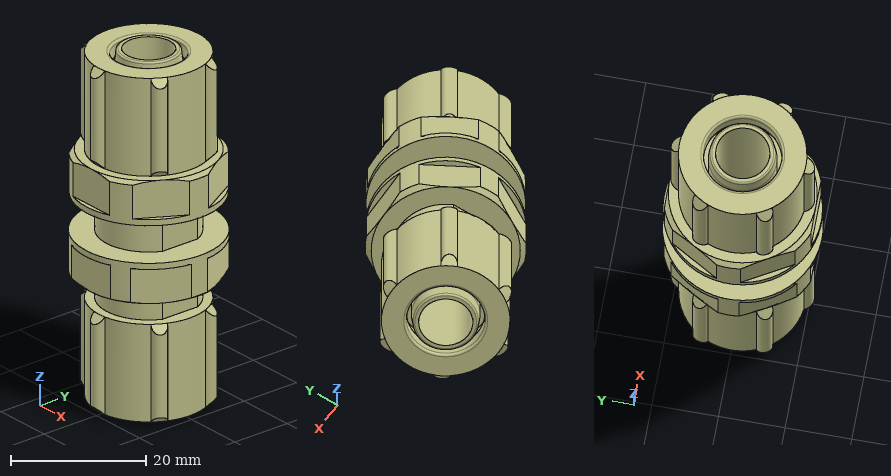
import cadquery as cq
import math

TOTAL_LENGTH = 57.0
NOZZLE_PROTRUSION = 0.4
CAP_HEIGHT = 16.0
NOZZLE_TIP_Z = TOTAL_LENGTH / 2
CAP_OUTER_Z = NOZZLE_TIP_Z - NOZZLE_PROTRUSION
CAP_INNER_Z = CAP_OUTER_Z - CAP_HEIGHT

STEM_DIAMETER = 16.0
STEM_ACROSS_FLATS = 14.5
BORE_DIAMETER = 8.0

HEX_ACROSS_FLATS = 22.0
HEX_HEIGHT = 7.0
FLANGE_THICKNESS = 1.0
HEX_CHAMFER_RADIUS = 11.0
HEX_CHAMFER_HEIGHT = 0.5
NUT_DIAMETER = 23.6
COLLAR_DIAMETER = 23.8
COLLAR_SEAT_Z = -1.0

NOZZLE_TIP_DIAMETER = 9.65
NOZZLE_TIP_FILLET = 0.3
NOZZLE_DIAMETER = 10.15
NOZZLE_TAPER_LENGTH = 2.2

CAP_DIAMETER = 19.0
CAP_MOUTH_DIAMETER = 11.6
CAP_MOUTH_FILLET = 0.4
CAP_LIP_THICKNESS = 2.4
SPIGOT_DIAMETER = 13.55
SPIGOT_HEIGHT = 10.0
RIB_COUNT = 6
RIB_RADIUS = 1.25
FIRST_RIB_ANGLE = 90.0


def cylinder(diameter, bottom_z, top_z):
    """Solid cylinder on the Z axis between two heights."""
    return cq.Workplane("XY").workplane(offset=bottom_z).circle(diameter / 2).extrude(top_z - bottom_z)


def turned(profile_points):
    """Solid of revolution about Z from (radius, z) points."""
    return cq.Workplane("XZ").polyline(profile_points).close().revolve(360, (0, 0), (0, 1))


def mirrored(shape):
    """The same shape at the opposite end of the fitting."""
    return shape.mirror("XY")


def flanged_hex(diameter):
    """Hexagon with rounded corners on a round flange; flange down on z = 0, chamfer at the top."""
    radius = diameter / 2
    envelope = turned([
        (0, 0),
        (radius, 0),
        (radius, HEX_HEIGHT - HEX_CHAMFER_HEIGHT),
        (HEX_CHAMFER_RADIUS, HEX_HEIGHT),
        (0, HEX_HEIGHT),
    ])
    corner_diameter = HEX_ACROSS_FLATS / math.cos(math.pi / 6)
    hexagon = cq.Workplane("XY").polygon(6, corner_diameter).extrude(HEX_HEIGHT)
    flange = cylinder(diameter, 0, FLANGE_THICKNESS)
    return envelope.intersect(hexagon.union(flange))


def nozzle():
    """Tapered hose nozzle at the upper end, rising from the stem to a rounded tip."""
    plain = turned([
        (0, CAP_INNER_Z),
        (NOZZLE_DIAMETER / 2, CAP_INNER_Z),
        (NOZZLE_DIAMETER / 2, NOZZLE_TIP_Z - NOZZLE_TAPER_LENGTH),
        (NOZZLE_TIP_DIAMETER / 2, NOZZLE_TIP_Z),
        (0, NOZZLE_TIP_Z),
    ])
    return plain.faces(">Z").edges().fillet(NOZZLE_TIP_FILLET)


def make_fitting_body():
    """Flatted stem with hex collar, and a spigot and nozzle at each end, bored through."""
    stem = cylinder(STEM_DIAMETER, -CAP_INNER_Z, CAP_INNER_Z)
    flats = cq.Workplane("XY").box(STEM_ACROSS_FLATS, STEM_DIAMETER, 2 * CAP_INNER_Z)
    collar = flanged_hex(COLLAR_DIAMETER).mirror("XY").translate((0, 0, COLLAR_SEAT_Z))
    upper_end = cylinder(SPIGOT_DIAMETER, CAP_INNER_Z, CAP_INNER_Z + SPIGOT_HEIGHT).union(nozzle())
    bore = cylinder(BORE_DIAMETER, -NOZZLE_TIP_Z, NOZZLE_TIP_Z)
    body = stem.intersect(flats).union(collar)
    return body.union(upper_end).union(mirrored(upper_end)).cut(bore)


def make_lock_nut():
    """Loose flanged nut on the stem, between the collar and the upper cap."""
    bore = cylinder(STEM_DIAMETER, 0, HEX_HEIGHT)
    return flanged_hex(NUT_DIAMETER).cut(bore).translate((0, 0, CAP_INNER_Z - HEX_HEIGHT))


def cap_ribs():
    """Round grip ribs, bevelled at 45 degrees at both ends down to the cap surface."""
    cap_radius = CAP_DIAMETER / 2
    ribs = (
        cq.Workplane("XY")
        .workplane(offset=CAP_INNER_Z)
        .polarArray(cap_radius, FIRST_RIB_ANGLE, 360, RIB_COUNT)
        .circle(RIB_RADIUS)
        .extrude(CAP_HEIGHT)
    )
    bevel_envelope = cylinder(CAP_DIAMETER + 2 * RIB_RADIUS, CAP_INNER_Z, CAP_OUTER_Z)
    bevel_envelope = bevel_envelope.edges("%CIRCLE").chamfer(RIB_RADIUS)
    return ribs.intersect(bevel_envelope)


def make_union_cap():
    """Upper union cap: ribbed sleeve over the spigot with a rounded hose mouth."""
    cap = cylinder(CAP_DIAMETER, CAP_INNER_Z, CAP_OUTER_Z).union(cap_ribs())
    mouth = cylinder(CAP_MOUTH_DIAMETER, CAP_INNER_Z, CAP_OUTER_Z)
    cap = cap.cut(mouth)
    mouth_edge = cq.selectors.RadiusNthSelector(0)
    cap = cap.faces(">Z").edges(mouth_edge).fillet(CAP_MOUTH_FILLET)
    cavity = cylinder(SPIGOT_DIAMETER, CAP_INNER_Z, CAP_OUTER_Z - CAP_LIP_THICKNESS)
    return cap.cut(cavity)


fitting_body = make_fitting_body()
lock_nut = make_lock_nut()
upper_cap = make_union_cap()
union_caps = [upper_cap, mirrored(upper_cap)]

result = cq.Compound.makeCompound([
    fitting_body.val(),
    lock_nut.val(),
    *[cap.val() for cap in union_caps],
])